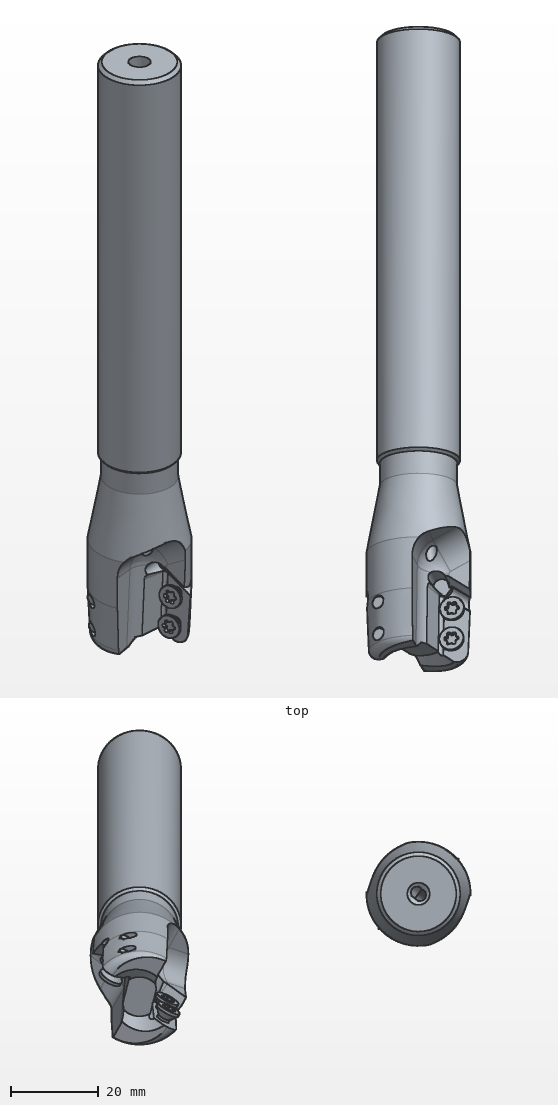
import cadquery as cq
import math

total_length = 150.0
shank_diameter = 19.0
shank_radius = shank_diameter / 2
shank_chamfer = 0.9
shank_bottom = 48.3
neck_radius = 8.9
neck_bottom = 42.3
head_diameter = 23.9
head_radius = head_diameter / 2
head_top = 26.0
land_top = 13.7
land_bottom_radius = 11.4
corner_radius = 2.4

bore_radius = 2.5
bore_bottom = 43.5
bore_tip_angle = 118.0
branch_radius = 1.4
branch_start = (0.0, 0.0, 45.0)
branch_exit = (3.9, -3.0, 23.3)
branch_overrun = 2.0

end_clearance_angle = 7.5
end_clearance_start = 8.4
dish_height = 2.9
dish_inner_radius = 4.8
dish_outer_radius = 8.3

flute_count = 2
axial_rake = 4.5
rake_height = 15.0
flute_floor_offset = 0.5
flute_wall_x = 0.9
flute_wall_top = 20.5
flute_runout_angle = 28.0
flute_top_radius = 6.8
flute_floor_fillet = 6.2
cut_margin = 6.0

seat_depth = 3.8
pocket_wall_angle = 15.0
pocket_wall_x = 4.2
pocket_wall_top = 17.0
pocket_top = 18.9
pocket_slope_start_x = 6.5
pocket_slope_angle = 35.0
pocket_height = 7.5
relief_hole_diameter = 3.8
relief_hole_radius = relief_hole_diameter / 2
relief_hole_x = 4.5
relief_hole_z = 19.2
top_groove_radius = 1.43
top_groove_x = 11.3
top_groove_z = 14.4
side_groove_radius = 0.6
side_groove_x = 4.7

screw_x = 7.7
screw_heights = (5.0, 12.5)
screw_radius = 1.5
screw_engagement = 4.5
screw_head_diameter = 5.5
screw_head_radius = screw_head_diameter / 2
screw_head_lift = 0.6
screw_cone_height = 1.7
screw_rim_height = 0.8
socket_radius = 1.2
socket_lobe_radius = 0.5
socket_lobe_count = 6
socket_depth = 1.2

outside = head_radius + cut_margin


def tilt(shape):
    """Lean a shape by the axial rake so that its upper end moves toward +Y."""
    return shape.rotate((0, 0, rake_height), (1, 0, rake_height), -axial_rake)


def turn(shape, index):
    """Turn a shape about the tool axis to the flute with this index."""
    return shape.rotate((0, 0, 0), (0, 0, 1), index * 360.0 / flute_count)


def seat_plane(x=0.0, z=0.0):
    """Plane on the untilted insert seat, with its normal pointing out of the pocket (-Y)."""
    return cq.Plane(origin=(x, seat_depth, z), xDir=(1, 0, 0), normal=(0, -1, 0))


def turned_blank():
    step = shank_radius - neck_radius
    profile = (
        cq.Workplane("XZ")
        .moveTo(0, 0)
        .lineTo(land_bottom_radius - corner_radius, 0)
        .radiusArc((land_bottom_radius, corner_radius), -corner_radius)
        .lineTo(head_radius, land_top)
        .lineTo(head_radius, head_top)
        .lineTo(neck_radius, neck_bottom)
        .lineTo(neck_radius, shank_bottom - step)
        .lineTo(shank_radius, shank_bottom)
        .lineTo(shank_radius, total_length - shank_chamfer)
        .lineTo(shank_radius - shank_chamfer, total_length)
        .lineTo(0, total_length)
        .close()
    )
    return profile.revolve(360, (0, 0, 0), (0, 1, 0))


def end_dish():
    profile = (
        cq.Workplane("XZ")
        .polyline([(0, 0), (dish_outer_radius, 0), (dish_inner_radius, dish_height), (0, dish_height)])
        .close()
    )
    return profile.revolve(360, (0, 0, 0), (0, 1, 0))


def end_clearance():
    """Wedge under the land on the +Y side, rising from its cutting edge to its heel."""
    run = end_clearance_start + pocket_wall_x
    rise = run * math.tan(math.radians(end_clearance_angle))
    return (
        cq.Workplane("XZ")
        .polyline([(end_clearance_start, 0), (-pocket_wall_x, 0), (-pocket_wall_x, rise)])
        .close()
        .extrude(-outside)
    )


def flute():
    """Chip space with a rounded top that runs out upward through the +X side."""
    angle = math.radians(flute_runout_angle)
    arc_end_x = flute_wall_x + flute_top_radius * (1 - math.sin(angle))
    arc_end_z = flute_wall_top + flute_top_radius * math.cos(angle)
    runout_z = arc_end_z + (outside - arc_end_x) * math.tan(angle)
    space = (
        cq.Workplane("XZ")
        .moveTo(flute_wall_x, -cut_margin)
        .lineTo(flute_wall_x, flute_wall_top)
        .radiusArc((arc_end_x, arc_end_z), flute_top_radius)
        .lineTo(outside, runout_z)
        .lineTo(outside, -cut_margin)
        .close()
        .extrude(outside)
        .translate((0, -flute_floor_offset, 0))
    )
    buried_edges = space.faces(">Y").edges("not(>X or <Z)")
    return tilt(buried_edges.fillet(flute_floor_fillet))


def insert_pocket():
    """Seat with flared walls, a round corner relief and relief grooves along the walls."""
    slope = math.radians(pocket_slope_angle)
    slope_end_z = pocket_top - (outside - pocket_slope_start_x) * math.tan(slope)
    pocket = (
        cq.Workplane(seat_plane())
        .polyline([
            (pocket_wall_x, -cut_margin),
            (pocket_wall_x, pocket_wall_top),
            (pocket_slope_start_x, pocket_top),
            (outside, slope_end_z),
            (outside, -cut_margin),
        ])
        .close()
        .extrude(pocket_height, taper=-pocket_wall_angle)
    )
    corner_relief = (
        cq.Workplane(seat_plane(relief_hole_x, relief_hole_z))
        .circle(relief_hole_radius)
        .extrude(pocket_height)
    )
    top_groove_plane = cq.Plane(
        origin=(top_groove_x, seat_depth, top_groove_z),
        xDir=(0, 1, 0),
        normal=(math.cos(slope), 0, -math.sin(slope)),
    )
    top_groove = cq.Workplane(top_groove_plane).circle(top_groove_radius).extrude(cut_margin, both=True)
    side_groove = (
        cq.Workplane("XY", origin=(side_groove_x, seat_depth, -cut_margin))
        .circle(side_groove_radius)
        .extrude(pocket_wall_top + cut_margin)
    )
    return tilt(pocket.union(corner_relief).union(top_groove).union(side_groove))


def screw_hole(height):
    return tilt(cq.Workplane(seat_plane(screw_x, height)).circle(screw_radius).extrude(-outside))


def coolant_branch():
    direction = cq.Vector(*branch_exit) - cq.Vector(*branch_start)
    plane = cq.Plane(origin=branch_start, normal=direction.toTuple())
    return cq.Workplane(plane).circle(branch_radius).extrude(direction.Length + branch_overrun)


def coolant_bore():
    """Blind bore from the shank end with a drill-point bottom."""
    tip_depth = bore_radius / math.tan(math.radians(bore_tip_angle / 2))
    profile = (
        cq.Workplane("XZ")
        .polyline([
            (0, bore_bottom - tip_depth),
            (bore_radius, bore_bottom),
            (bore_radius, total_length),
            (0, total_length),
        ])
        .close()
    )
    return profile.revolve(360, (0, 0, 0), (0, 1, 0))


def make_holder():
    holder = turned_blank().cut(end_dish()).cut(coolant_bore())
    cutters = [end_clearance(), flute(), insert_pocket(), coolant_branch()]
    cutters += [screw_hole(height) for height in screw_heights]
    for index in range(flute_count):
        for cutter in cutters:
            holder = holder.cut(turn(cutter, index))
    return holder


def make_screw(height):
    """Countersunk screw with a lobed socket, its shank ending inside the through hole."""
    cone_top = screw_head_lift + screw_cone_height
    head_top_height = cone_top + screw_rim_height
    profile = (
        cq.Workplane("XY")
        .polyline([
            (0, -screw_engagement),
            (screw_radius, -screw_engagement),
            (screw_radius, screw_head_lift),
            (screw_head_radius, cone_top),
            (screw_head_radius, head_top_height),
            (0, head_top_height),
        ])
        .close()
    )
    upright = profile.revolve(360, (0, 0, 0), (0, 1, 0))
    socket_top = cq.Workplane("XZ", origin=(0, head_top_height, 0))
    socket = socket_top.circle(socket_radius).extrude(socket_depth)
    lobes = (
        socket_top
        .polarArray(socket_radius, 0, 360, socket_lobe_count)
        .circle(socket_lobe_radius)
        .extrude(socket_depth)
    )
    upright = upright.cut(socket.union(lobes))
    facing_out = upright.rotate((0, 0, 0), (0, 0, 1), 180)
    return tilt(facing_out.translate((screw_x, seat_depth, height)))


holder = make_holder()
screws = [
    turn(make_screw(height), index)
    for index in range(flute_count)
    for height in screw_heights
]
result = cq.Compound.makeCompound([holder.val(), *[screw.val() for screw in screws]])